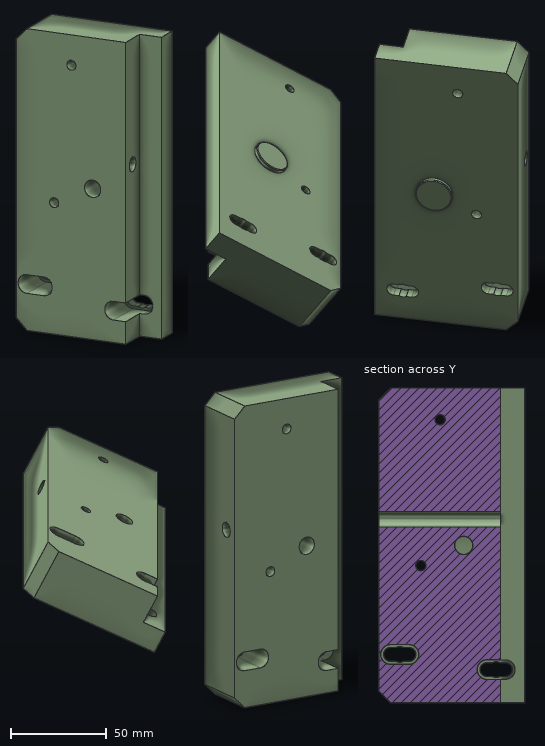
import cadquery as cq

block_height = 164.3
block_width = 76.3
overall_depth = 31.7
button_protrusion = 2.3
block_depth = overall_depth - button_protrusion
corner_chamfer = 6.2

flange_width = 12.7
flange_thickness = 12.8
rebate_depth = block_depth - flange_thickness

small_hole_diameter = 5.3
small_hole_places = [(32.0, 147.7), (22.0, 71.7)]

cross_hole_diameter = 7.9
cross_hole_y = 8.2
cross_hole_z = 95.8

slot_places = [(11.0, 25.3), (61.3, 17.5)]
recess_length = 19.7
recess_height = 10.2
recess_depth = 23.0
slot_length = 16.8
slot_height = 7.0
slot_bore_diameter = 8.0

button_x = 44.4
button_z = 82.2
button_diameter = 19.4
button_chamfer = 0.5
access_hole_diameter = 9.4


def front_plane(y):
    """Plane parallel to the front face at depth y, with its normal toward +Y and local axes (-X, Z)."""
    return cq.Workplane(cq.Plane(origin=(0, y, 0), xDir=(-1, 0, 0), normal=(0, 1, 0)))


def bore(x, z, diameter):
    """Round cutter through the whole block along Y."""
    return front_plane(0).center(-x, z).circle(diameter / 2).extrude(block_depth)


def slot(x, z, length, height, depth):
    """Cutter for a slot along X, sunk from the front face to the given depth."""
    return front_plane(0).center(-x, z).slot2D(length, height).extrude(depth)


def make_blank():
    """Rectangular block with chamfered left corners and the rebate on the right."""
    blank = cq.Workplane("XY").box(block_width, block_depth, block_height, centered=False)
    blank = blank.edges("|Y and <X").chamfer(corner_chamfer)
    rebate = (
        cq.Workplane("XY")
        .box(flange_width, rebate_depth, block_height, centered=False)
        .translate((block_width - flange_width, 0, 0))
    )
    return blank.cut(rebate)


def make_block():
    block = make_blank()

    for x, z in small_hole_places:
        block = block.cut(bore(x, z, small_hole_diameter))

    for x, z in slot_places:
        block = block.cut(slot(x, z, recess_length, recess_height, recess_depth))
        block = block.cut(slot(x, z, slot_length, slot_height, block_depth))
        block = block.cut(bore(x, z, slot_bore_diameter))

    cross_hole = cq.Workplane("YZ").center(cross_hole_y, cross_hole_z)
    cross_hole = cross_hole.circle(cross_hole_diameter / 2).extrude(block_width)
    block = block.cut(cross_hole)

    return block.cut(bore(button_x, button_z, access_hole_diameter))


def make_button():
    """Disc seated on the back face, covering the end of the access hole."""
    disc = front_plane(block_depth).center(-button_x, button_z)
    disc = disc.circle(button_diameter / 2).extrude(button_protrusion)
    return disc.faces(">Y").chamfer(button_chamfer)


block = make_block()
button = make_button()

result = cq.Compound.makeCompound([block.val(), button.val()])